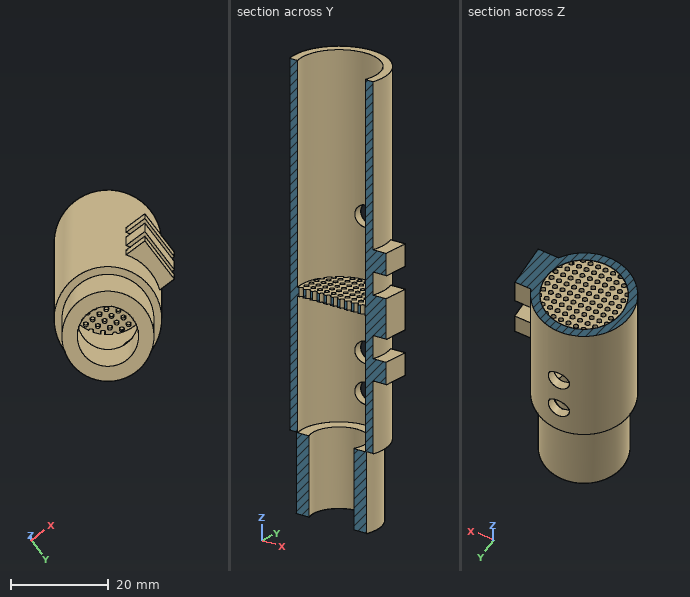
import cadquery as cq

total_height = 100.0
body_diameter = 22.0
body_bore_diameter = 18.0
spigot_diameter = 18.8
spigot_bore_diameter = 12.5
spigot_height = 18.0

screen_thickness = 2.0
screen_top = total_height / 2
screen_bottom = screen_top - screen_thickness
screen_hole_diameter = 1.0
screen_hole_pitch = 1.75
screen_holes_per_side = 10
screen_grid_offset = 0.125

wall_hole_diameter = 4.9
wall_hole_heights = [25.0, 34.0, 64.0]

block_outer_x = 14.0
block_front_y = -6.0
block_back_y = 4.0
block_bottom_and_height = [(34.0, 5.0), (44.0, 9.0), (58.0, 5.0)]


def cylinder(diameter, bottom, top):
    """Cylinder on the tube axis between two heights."""
    return cq.Workplane("XY").workplane(offset=bottom).circle(diameter / 2).extrude(top - bottom)


def make_block(bottom, height):
    """Rectangular block that reaches from the tube axis out to the +X face."""
    width = block_back_y - block_front_y
    return cq.Workplane("XY").box(block_outer_x, width, height, centered=False).translate(
        (0, block_front_y, bottom)
    )


def make_screen_holes():
    """Square grid of holes through the screen, trimmed to the wide bore."""
    grid = (
        cq.Workplane("XY")
        .workplane(offset=screen_bottom)
        .center(screen_grid_offset, screen_grid_offset)
        .rarray(screen_hole_pitch, screen_hole_pitch, screen_holes_per_side, screen_holes_per_side)
        .circle(screen_hole_diameter / 2)
        .extrude(screen_thickness)
    )
    return grid.intersect(cylinder(body_bore_diameter, screen_bottom, screen_top))


def make_wall_hole(height):
    """Radial hole from the tube axis out through the +Y wall."""
    return (
        cq.Workplane("XZ", origin=(0, 0, height))
        .circle(wall_hole_diameter / 2)
        .extrude(-body_diameter / 2)
    )


result = cylinder(spigot_diameter, 0, spigot_height)
result = result.union(cylinder(body_diameter, spigot_height, total_height))
for block_bottom, block_height in block_bottom_and_height:
    result = result.union(make_block(block_bottom, block_height))

result = result.cut(cylinder(body_bore_diameter, screen_top, total_height))
result = result.cut(cylinder(body_bore_diameter, spigot_height, screen_bottom))
result = result.cut(cylinder(spigot_bore_diameter, 0, spigot_height))
result = result.cut(make_screen_holes())

for wall_hole_height in wall_hole_heights:
    result = result.cut(make_wall_hole(wall_hole_height))